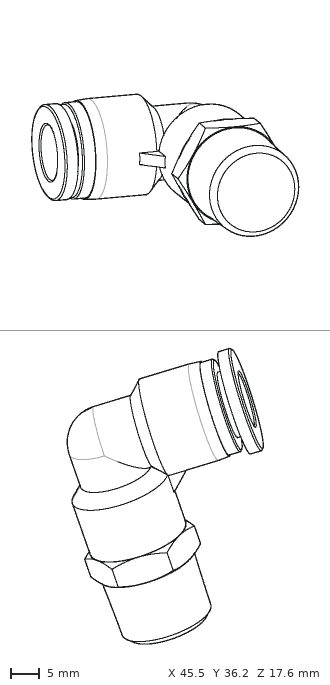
import cadquery as cq
import math


OVERALL_LENGTH = 45.5
OVERALL_DEPTH = 36.15

ELBOW_RADIUS = 6.5
ARM_RADIUS = 17.6 / 2
SHOULDER = ARM_RADIUS - ELBOW_RADIUS
STUD_SHOULDER_START = 6.45
STUD_ARM_LENGTH = 18.97
TUBE_SHOULDER_START = 6.82
TUBE_TAPER_START = 18.2
TUBE_TAPER_END = 20.25
TUBE_TAPER_RADIUS = 8.65
MOUTH_RADIUS = 16.9 / 2
MOUTH_END = 22.55
MOUTH_CHAMFER = 0.27

WEB_REACH = 21.05
WEB_THICKNESS = 2.1

HEX_FLATS = 17.43
HEX_LENGTH = 5.05
HEX_CHAMFER_RADIUS = 8.7
HEX_CHAMFER_ANGLE = 30
THREAD_START_RADIUS = 8.5
THREAD_END_RADIUS = 8.2
THREAD_CHAMFER = 1.1

NECK_RADIUS = 11.9 / 2
BORE_RADIUS = 9.75 / 2
SLEEVE_LENGTH = 5.9
BORE_CHAMFER = 0.27
FLANGE_WIDTH = 18.97
FLANGE_HEIGHT = 16.65
FLANGE_START = 23.8
FLANGE_CHAMFER = 0.3

HEX_CORNER_RADIUS = HEX_FLATS / math.sqrt(3)
HEX_END = STUD_ARM_LENGTH + HEX_LENGTH
STUD_END = OVERALL_LENGTH - FLANGE_WIDTH / 2
SLEEVE_END = OVERALL_DEPTH - HEX_CORNER_RADIUS
SLEEVE_INNER_END = SLEEVE_END - SLEEVE_LENGTH
SOCKET_FLOOR = TUBE_SHOULDER_START + SHOULDER


def revolve_about_x(profile):
    """Revolve (x, radius) points about the X axis."""
    return cq.Workplane("XY").polyline(profile).close().revolve(360, (0, 0, 0), (1, 0, 0))


def revolve_about_y(profile):
    """Revolve (distance along -Y, radius) points about the Y axis."""
    points = [(radius, -distance) for distance, radius in profile]
    return cq.Workplane("XY").polyline(points).close().revolve(360, (0, 0, 0), (0, 1, 0))


def make_stud_arm():
    return revolve_about_x([
        (0, 0),
        (0, ELBOW_RADIUS),
        (STUD_SHOULDER_START, ELBOW_RADIUS),
        (STUD_SHOULDER_START + SHOULDER, ARM_RADIUS),
        (STUD_ARM_LENGTH, ARM_RADIUS),
        (STUD_ARM_LENGTH, 0),
    ])


def make_tube_arm():
    return revolve_about_y([
        (0, 0),
        (0, ELBOW_RADIUS),
        (TUBE_SHOULDER_START, ELBOW_RADIUS),
        (TUBE_SHOULDER_START + SHOULDER, ARM_RADIUS),
        (TUBE_TAPER_START, ARM_RADIUS),
        (TUBE_TAPER_END, TUBE_TAPER_RADIUS),
        (TUBE_TAPER_END, MOUTH_RADIUS),
        (MOUTH_END - MOUTH_CHAMFER, MOUTH_RADIUS),
        (MOUTH_END, MOUTH_RADIUS - MOUTH_CHAMFER),
        (MOUTH_END, 0),
    ])


def make_web():
    inner = ELBOW_RADIUS / 2
    return (
        cq.Workplane("XY")
        .polyline([(inner, -inner), (WEB_REACH - inner, -inner), (inner, inner - WEB_REACH)])
        .close()
        .extrude(WEB_THICKNESS / 2, both=True)
    )


def make_tube_socket():
    """Tube bore that continues the sleeve's bore, widened at the mouth to hold the sleeve."""
    return revolve_about_y([
        (SOCKET_FLOOR, 0),
        (SOCKET_FLOOR, BORE_RADIUS),
        (SLEEVE_INNER_END, BORE_RADIUS),
        (SLEEVE_INNER_END, NECK_RADIUS),
        (MOUTH_END, NECK_RADIUS),
        (MOUTH_END, 0),
    ])


def make_housing():
    outer_corner = cq.Workplane("XY").sphere(ELBOW_RADIUS)
    body = make_stud_arm().union(make_tube_arm()).union(outer_corner).union(make_web())
    return body.cut(make_tube_socket())


def make_hexagon():
    hexagon = (
        cq.Workplane("YZ", origin=(STUD_ARM_LENGTH, 0, 0))
        .polygon(6, 2 * HEX_CORNER_RADIUS)
        .extrude(HEX_LENGTH)
    )
    half_length = HEX_LENGTH / 2
    peak_radius = HEX_CHAMFER_RADIUS + half_length / math.tan(math.radians(HEX_CHAMFER_ANGLE))
    bevel = revolve_about_x([
        (STUD_ARM_LENGTH, 0),
        (STUD_ARM_LENGTH, HEX_CHAMFER_RADIUS),
        (STUD_ARM_LENGTH + half_length, peak_radius),
        (HEX_END, HEX_CHAMFER_RADIUS),
        (HEX_END, 0),
    ])
    return hexagon.intersect(bevel)


def make_stud():
    thread = revolve_about_x([
        (HEX_END, 0),
        (HEX_END, THREAD_START_RADIUS),
        (STUD_END - THREAD_CHAMFER, THREAD_END_RADIUS),
        (STUD_END, THREAD_END_RADIUS - THREAD_CHAMFER),
        (STUD_END, 0),
    ])
    return make_hexagon().union(thread)


def make_flange():
    """Oval flange, chamfered round its outer end."""
    return (
        cq.Workplane("XZ", origin=(0, -FLANGE_START, 0))
        .ellipse(FLANGE_WIDTH / 2, FLANGE_HEIGHT / 2)
        .extrude(SLEEVE_END - FLANGE_START)
        .faces("<Y")
        .chamfer(FLANGE_CHAMFER)
    )


def make_sleeve():
    neck = revolve_about_y([
        (SLEEVE_INNER_END, 0),
        (SLEEVE_INNER_END, NECK_RADIUS),
        (FLANGE_START, NECK_RADIUS),
        (FLANGE_START, 0),
    ])
    bore = revolve_about_y([
        (SLEEVE_INNER_END, 0),
        (SLEEVE_INNER_END, BORE_RADIUS),
        (SLEEVE_END - BORE_CHAMFER, BORE_RADIUS),
        (SLEEVE_END, BORE_RADIUS + BORE_CHAMFER),
        (SLEEVE_END, 0),
    ])
    return neck.union(make_flange()).cut(bore)


housing = make_housing()
stud = make_stud()
sleeve = make_sleeve()

result = cq.Compound.makeCompound([housing.solids().val(), stud.solids().val(), sleeve.solids().val()])